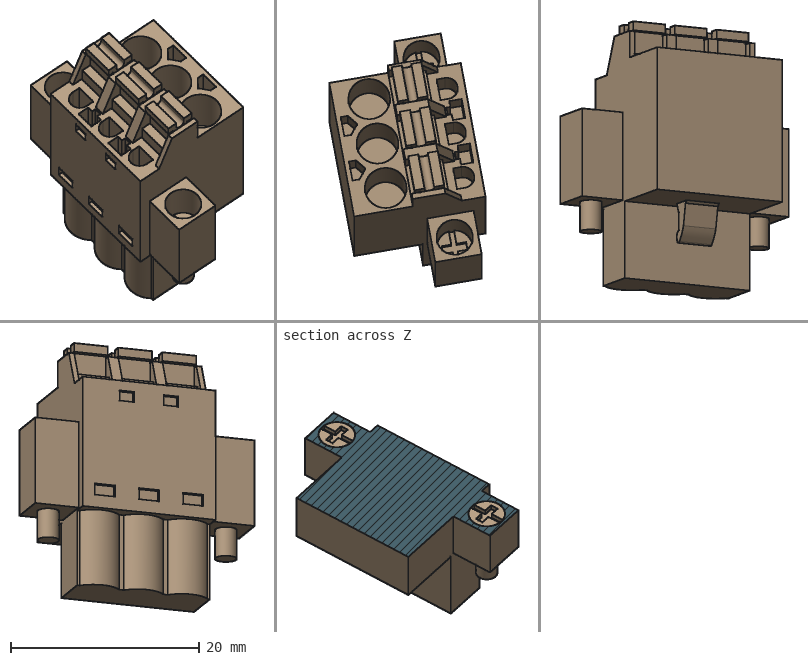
import cadquery as cq


overall_width = 24.8
overall_depth = 14.2
overall_height = 27.73

pole_count = 3
pole_pitch = 5.0

housing_width = 15.0
housing_bottom_z = -5.55
shelf_z = 8.82
rear_top_z = 9.85
rib_top_z = 12.73
rib_back_y = 0.78
rib_top_front_y = -2.75
rib_foot_y = -4.52

shroud_back_y = -0.33
shroud_front_y = -5.35
lobe_width = 4.46
lobe_bulge = 1.03

latch_width = 3.88
latch_root_back_y = 3.22
latch_root_front_y = 0.97
latch_back_shoulder = (2.95, -5.82)
latch_bend_start = (2.47, -8.15)
latch_bend_middle = (2.1, -8.95)
latch_tip_back = (1.55, -9.7)
latch_tip = (1.3, -9.85)
latch_tip_front = (1.08, -9.7)
latch_barb_y = 0.9
latch_barb_bottom_z = -9.37
latch_barb_top_z = -8.9
latch_neck_front_y = 1.33
latch_neck_bottom_z = -8.49
latch_neck_top_z = -6.52

flange_y = -3.3
flange_depth = 5.02
flange_top_z = 4.15
flange_bottom_z = -5.35

screw_x = 10.05
screw_head_diameter = 3.85
screw_shaft_diameter = 2.33
screw_head_top_z = 0.0
screw_head_height = 1.65
screw_tip_z = -8.55
long_slot_width = 0.55
short_slot_width = 0.85
short_slot_length = 2.63
slot_depth = 0.55

wire_hole_diameter = 4.45
wire_hole_y = 3.25
wire_hole_depth = 5.55
key_pocket_width = 2.14
key_pocket_back_y = 6.57
key_pocket_shoulder_y = 5.82
key_pocket_tip_y = 5.0
key_pocket_depth = 2.77
probe_width = 2.33
probe_back_y = -4.25
probe_front_y = -6.3
probe_depth = 4.15
tee_neck_width = 0.83
tee_neck_back_y = -4.71
tee_shoulder_y = -5.15
tee_front_y = -6.5
tee_depth = 2.77

window_depth = 0.47
lower_window_width = 2.27
lower_window_height = 1.25
lower_window_z = -3.52
upper_window_width = 1.64
upper_window_height = 1.15
upper_window_z = 7.15

lever_width = 3.83
lever_axis_y = -1.15
lever_head_depth = 3.22
lever_head_bottom_z = 12.9
lever_neck_depth = 1.97
lever_step_z = 10.3
lever_foot_front_y = -3.22
lever_front_gap = 0.08
lever_pocket_depth = 1.1
lever_notch_width = 1.03
lever_notch_bottom_z = 12.8

front_y = -overall_depth / 2
back_y = overall_depth / 2
bottom_z = -overall_height / 2
top_z = overall_height / 2
housing_side_x = housing_width / 2
flange_end_x = overall_width / 2
lever_pocket_floor_z = shelf_z - lever_pocket_depth
screw_seat_z = screw_head_top_z - screw_head_height
pole_xs = [(i - (pole_count - 1) / 2) * pole_pitch for i in range(pole_count)]
between_xs = [x + pole_pitch / 2 for x in pole_xs[:-1]]
sides = (-1, 1)


def box_between(x_range, y_range, z_range):
    """Box given by its two limits along each axis."""
    size = [high - low for low, high in (x_range, y_range, z_range)]
    corner = (x_range[0], y_range[0], z_range[0])
    return cq.Workplane("XY").box(*size, centered=False).translate(corner)


def side_profile(center_x, width):
    """Sketch plane in (Y, Z) that starts half of `width` to the -X side of `center_x`."""
    return cq.Workplane("YZ", origin=(center_x - width / 2, 0, 0))


def upright_cylinder(x, y, diameter, z_low, z_high):
    """Vertical cylinder between two heights."""
    return cq.Workplane("XY", origin=(x, y, z_low)).circle(diameter / 2).extrude(z_high - z_low)


def main_block():
    """Body with a high rear part, a raised middle with a sloping front and a low front shelf."""
    outline = [
        (back_y, housing_bottom_z),
        (front_y, housing_bottom_z),
        (front_y, shelf_z),
        (rib_foot_y, shelf_z),
        (rib_top_front_y, rib_top_z),
        (rib_back_y, rib_top_z),
        (rib_back_y, rear_top_z),
        (back_y, rear_top_z),
    ]
    return side_profile(0, housing_width).polyline(outline).close().extrude(housing_width)


def lever_slot(x):
    """Gap between two ribs, open to the top and the front, and the lever pocket below it in the shelf."""
    half = lever_width / 2
    x_range = (x - half, x + half)
    gap = box_between(x_range, (rib_foot_y, rib_back_y), (shelf_z, rib_top_z))
    pocket_front_y = lever_foot_front_y - lever_front_gap
    pocket = box_between(x_range, (pocket_front_y, rib_back_y), (lever_pocket_floor_z, shelf_z))
    return gap.union(pocket)


def shroud():
    """Plug shroud: a plain block with one bulging lobe per pole on its front face."""
    body = box_between(
        (-housing_side_x, housing_side_x), (shroud_front_y, shroud_back_y), (bottom_z, housing_bottom_z)
    )
    height = housing_bottom_z - bottom_z
    for x in pole_xs:
        lobe = (
            cq.Workplane("XY", origin=(x, shroud_front_y, bottom_z))
            .moveTo(-lobe_width / 2, 0)
            .threePointArc((0, -lobe_bulge), (lobe_width / 2, 0))
            .close()
            .extrude(height)
        )
        body = body.union(lobe)
    return body


def latch():
    """Hook under the middle of the bottom face, with a rounded tip turned to the front."""
    return (
        side_profile(0, latch_width)
        .moveTo(latch_root_back_y, housing_bottom_z)
        .lineTo(*latch_back_shoulder)
        .lineTo(*latch_bend_start)
        .threePointArc(latch_bend_middle, latch_tip_back)
        .threePointArc(latch_tip, latch_tip_front)
        .lineTo(latch_barb_y, latch_barb_bottom_z)
        .lineTo(latch_barb_y, latch_barb_top_z)
        .lineTo(latch_neck_front_y, latch_neck_bottom_z)
        .lineTo(latch_neck_front_y, latch_neck_top_z)
        .lineTo(latch_root_front_y, housing_bottom_z)
        .close()
        .extrude(latch_width)
    )


def flange(side):
    """Screw flange with a stepped hole that fits the screw head and shaft."""
    x_range = sorted((side * housing_side_x, side * flange_end_x))
    y_range = (flange_y - flange_depth / 2, flange_y + flange_depth / 2)
    block = box_between(x_range, y_range, (flange_bottom_z, flange_top_z))
    x = side * screw_x
    head_hole = upright_cylinder(x, flange_y, screw_head_diameter, screw_seat_z, flange_top_z)
    shaft_hole = upright_cylinder(x, flange_y, screw_shaft_diameter, flange_bottom_z, screw_seat_z)
    return block.cut(head_hole).cut(shaft_hole)


def wire_hole(x):
    """Round wire entry in the rear top face."""
    return upright_cylinder(x, wire_hole_y, wire_hole_diameter, rear_top_z - wire_hole_depth, rear_top_z)


def key_pocket(x):
    """Five-sided pocket in the rear top face, pointing to the front."""
    half = key_pocket_width / 2
    outline = [
        (-half, key_pocket_back_y),
        (half, key_pocket_back_y),
        (half, key_pocket_shoulder_y),
        (0, key_pocket_tip_y),
        (-half, key_pocket_shoulder_y),
    ]
    floor = cq.Workplane("XY", origin=(x, 0, rear_top_z - key_pocket_depth))
    return floor.polyline(outline).close().extrude(key_pocket_depth)


def probe_pocket(x):
    """D-shaped pocket in the shelf, with its round end to the front."""
    half = probe_width / 2
    round_start_y = probe_front_y + half
    return (
        cq.Workplane("XY", origin=(x, 0, shelf_z - probe_depth))
        .moveTo(-half, round_start_y)
        .threePointArc((0, probe_front_y), (half, round_start_y))
        .lineTo(half, probe_back_y)
        .lineTo(-half, probe_back_y)
        .close()
        .extrude(probe_depth)
    )


def tee_pocket(x):
    """T-shaped pocket in the shelf: a wide front part and a narrow neck behind it."""
    z_range = (shelf_z - tee_depth, shelf_z)
    half = key_pocket_width / 2
    neck_half = tee_neck_width / 2
    wide = box_between((x - half, x + half), (tee_front_y, tee_shoulder_y), z_range)
    neck = box_between((x - neck_half, x + neck_half), (tee_shoulder_y, tee_neck_back_y), z_range)
    return wide.union(neck)


def window(x, z, width, height):
    """Shallow rectangular recess in the front face."""
    return box_between(
        (x - width / 2, x + width / 2), (front_y, front_y + window_depth), (z - height / 2, z + height / 2)
    )


def make_housing():
    housing = main_block().union(shroud()).union(latch())
    for side in sides:
        housing = housing.union(flange(side))
    for x in pole_xs:
        housing = housing.cut(lever_slot(x))
        housing = housing.cut(wire_hole(x))
        housing = housing.cut(probe_pocket(x))
        housing = housing.cut(window(x, lower_window_z, lower_window_width, lower_window_height))
    for x in between_xs:
        housing = housing.cut(key_pocket(x))
        housing = housing.cut(tee_pocket(x))
        housing = housing.cut(window(x, upper_window_z, upper_window_width, upper_window_height))
    return housing


def make_lever(x):
    """Release lever: a wide foot on the pocket floor, a neck and a T-shaped head with a round notch."""
    x_range = (x - lever_width / 2, x + lever_width / 2)
    foot = box_between(x_range, (lever_foot_front_y, rib_back_y), (lever_pocket_floor_z, lever_step_z))
    neck_half = lever_neck_depth / 2
    neck_y_range = (lever_axis_y - neck_half, lever_axis_y + neck_half)
    neck = box_between(x_range, neck_y_range, (lever_step_z, lever_head_bottom_z))
    head_half = lever_head_depth / 2
    head_y_range = (lever_axis_y - head_half, lever_axis_y + head_half)
    head = box_between(x_range, head_y_range, (lever_head_bottom_z, top_z))

    notch_radius = lever_notch_width / 2
    round_start_z = lever_notch_bottom_z + notch_radius
    notch = (
        side_profile(x, lever_width)
        .moveTo(lever_axis_y - notch_radius, round_start_z)
        .threePointArc((lever_axis_y, lever_notch_bottom_z), (lever_axis_y + notch_radius, round_start_z))
        .lineTo(lever_axis_y + notch_radius, top_z)
        .lineTo(lever_axis_y - notch_radius, top_z)
        .close()
        .extrude(lever_width)
    )
    return foot.union(neck).union(head).cut(notch)


def make_screw(x):
    """Flange screw: a plain shaft and a cylindrical head with a cross recess."""
    shaft = upright_cylinder(x, flange_y, screw_shaft_diameter, screw_tip_z, screw_seat_z)
    head = upright_cylinder(x, flange_y, screw_head_diameter, screw_seat_z, screw_head_top_z)
    slot_floor = cq.Workplane("XY", origin=(x, flange_y, screw_head_top_z - slot_depth))
    long_slot = slot_floor.rect(screw_head_diameter, long_slot_width).extrude(slot_depth)
    short_slot = slot_floor.rect(short_slot_width, short_slot_length).extrude(slot_depth)
    return shaft.union(head).cut(long_slot).cut(short_slot)


housing = make_housing()
levers = [make_lever(x) for x in pole_xs]
screws = [make_screw(side * screw_x) for side in sides]

result = cq.Compound.makeCompound(
    [housing.val(), *[lever.val() for lever in levers], *[screw.val() for screw in screws]]
)